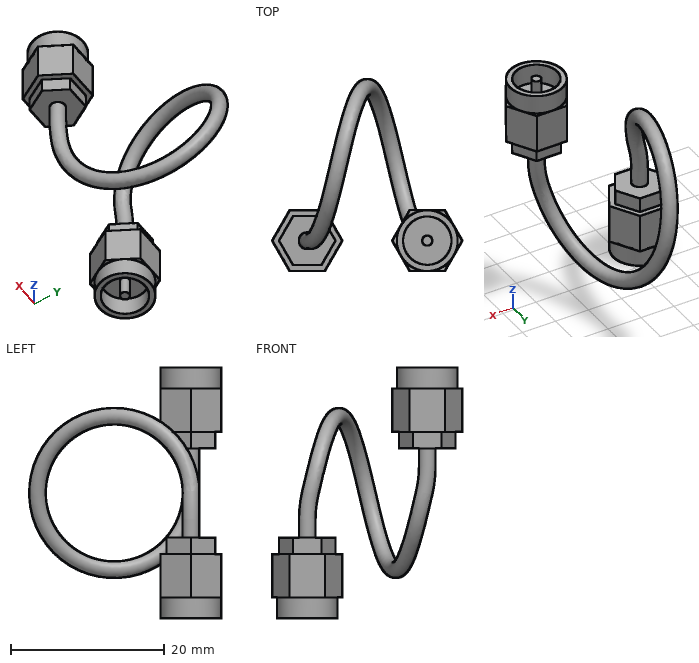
import cadquery as cq
import math


overall_height = 32.71
nut_across_flats = 7.94
nut_height = 5.66
back_hex_across_flats = 6.38
back_hex_height = 2.15
sleeve_diameter = nut_across_flats
sleeve_height = 2.74
bore_diameter = 6.3
bore_depth = 2.9
pin_diameter = 1.32
connector_length = back_hex_height + nut_height + sleeve_height

connector_spacing = 15.64
cable_diameter = 2.2
coil_radius = 10.0
bend_radius = 15.0
half_height = overall_height / 2
back_face_z = half_height - connector_length

turn_length = 2 * math.pi * coil_radius
slope_rounds = 20
bend_offset = 0.0
for _ in range(slope_rounds):
    slope = math.atan((connector_spacing - 2 * bend_offset) / turn_length)
    bend_offset = bend_radius * (1 - math.cos(slope))
bend_height = bend_radius * math.sin(slope)
coil_pitch = connector_spacing - 2 * bend_offset
straight_length = back_face_z - bend_height


def hexagon(across_flats, height):
    """Hexagonal prism rising from Z = 0, with corners on the X axis."""
    across_corners = across_flats / math.cos(math.pi / 6)
    return cq.Workplane("XY").polygon(6, across_corners).extrude(height)


def make_connector():
    """Plug that rises from its cable-side face at Z = 0 to its open sleeve."""
    back_hex = hexagon(back_hex_across_flats, back_hex_height)
    nut = hexagon(nut_across_flats, nut_height).translate((0, 0, back_hex_height))
    sleeve = (
        cq.Workplane("XY", origin=(0, 0, back_hex_height + nut_height))
        .circle(sleeve_diameter / 2)
        .extrude(sleeve_height)
    )
    socket = (
        cq.Workplane("XY", origin=(0, 0, connector_length))
        .circle(bore_diameter / 2)
        .circle(pin_diameter / 2)
        .extrude(-bore_depth)
    )
    return back_hex.union(nut).union(sleeve).cut(socket)


def half_turn(body):
    """Rotate about the Y-parallel line midway between the connectors at Z = 0."""
    middle_x = connector_spacing / 2
    return body.rotate((middle_x, 0, 0), (middle_x, 1, 0), 180)


def make_cable_end():
    """Straight stub and tilting bend from the lower connector up to Z = 0."""
    stub = (
        cq.Workplane("XY", origin=(0, 0, -back_face_z))
        .circle(cable_diameter / 2)
        .extrude(straight_length)
    )
    bend = (
        cq.Workplane("XY", origin=(0, 0, -bend_height))
        .circle(cable_diameter / 2)
        .revolve(math.degrees(slope), (bend_radius, 0, 0), (bend_radius, 1, 0))
    )
    return stub.union(bend)


def make_coil():
    """One left-handed turn about an X-parallel axis, starting at Z = 0 above the bend."""
    helix = cq.Wire.makeHelix(coil_pitch, coil_pitch, coil_radius, lefthand=True)
    start_direction = cq.Vector(0, -math.cos(slope), math.sin(slope))
    start_plane = cq.Plane(origin=(coil_radius, 0, 0), xDir=(1, 0, 0), normal=start_direction)
    coil = (
        cq.Workplane(start_plane)
        .circle(cable_diameter / 2)
        .sweep(cq.Workplane(obj=helix), isFrenet=True)
    )
    coil = coil.rotate((0, 0, 0), (0, 1, 0), 90)
    coil = coil.rotate((0, 0, 0), (1, 0, 0), -90)
    return coil.translate((bend_offset, coil_radius, 0))


def make_cable():
    lower_end = make_cable_end()
    return make_coil().union(lower_end).union(half_turn(lower_end))


upper_connector = make_connector().translate((connector_spacing, 0, back_face_z))
lower_connector = half_turn(upper_connector)
cable = make_cable()

bodies = [body.solids().val() for body in (lower_connector, upper_connector, cable)]
result = cq.Compound.makeCompound(bodies)